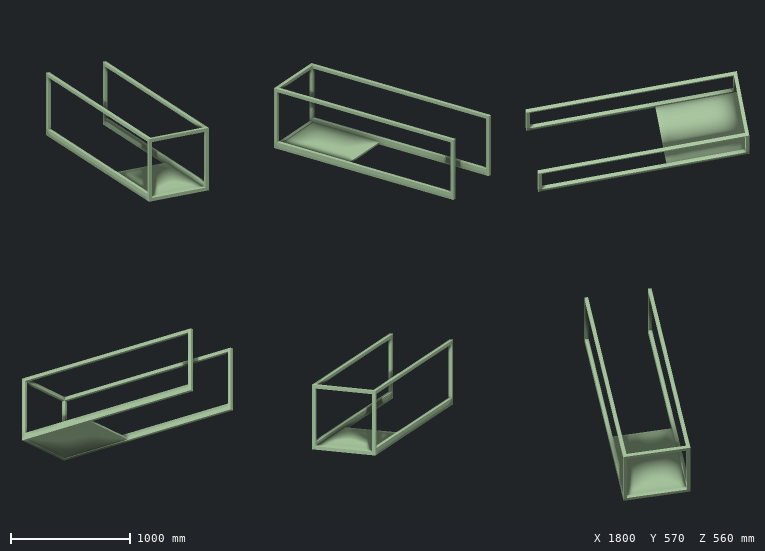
import cadquery as cq

length = 1800.0
width = 570.0
height = 560.0

bar = length / 60
sill_height = 2 * bar

panel_length = 670.0
panel_bottom = 5.0
panel_thickness = 16.0

inner_width = width - 2 * bar
back_face = length - bar


def block(size_x, size_y, size_z, corner):
    """Box with its lowest X, Y, Z corner at the given point."""
    return cq.Workplane("XY").box(size_x, size_y, size_z, centered=False).translate(corner)


def side_frame(y_start):
    """Upright rectangular frame with a deep bottom rail."""
    outer = block(length, bar, height, (0, y_start, 0))
    opening_height = height - bar - sill_height
    opening = block(length - 2 * bar, bar, opening_height, (bar, y_start, sill_height))
    return outer.cut(opening)


def cross_rail(z_start):
    """Rail joining the two side frames at the +X end."""
    return block(bar, inner_width, bar, (back_face, bar, z_start))


panel = block(panel_length, inner_width, panel_thickness, (back_face - panel_length, bar, panel_bottom))

result = (
    side_frame(0)
    .union(side_frame(width - bar))
    .union(cross_rail(height - bar))
    .union(cross_rail(0))
    .union(panel)
)